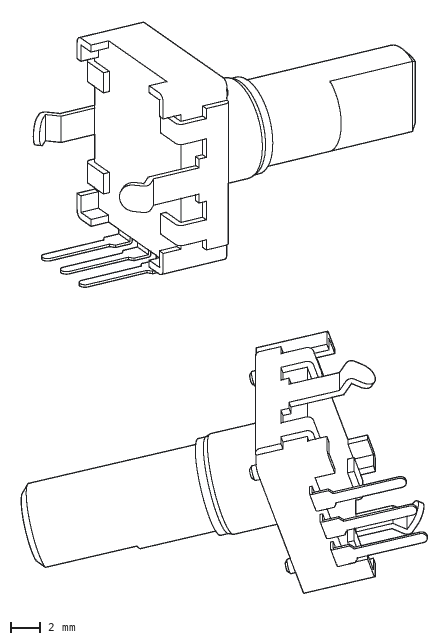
import cadquery as cq
import math


overall_width = 14.0
overall_length = 27.1
overall_height = 14.3

body_width = 11.5
body_height = 13.41
body_depth = 3.6
leg_depth = 4.99
leg_wall = 0.51
leg_span_x = 1.87
leg_span_z = 1.73
corner_radius = 0.51

bushing_radius = 3.5
bushing_length = 4.99
neck_radius = 3.35
neck_length = 0.57
bushing_bevel = 0.33
shaft_radius = 3.0
shaft_length = 17.5
shaft_chamfer = 0.51
flat_offset = 1.52
flat_start = 10.55

peg_radius = 0.51
peg_height = 0.8
peg_chamfer = 0.2
peg_x = 4.2
peg_z = 5.1

bracket_x = 6.23
plate_half_height = 5.23
plate_depth = 1.9
shoulder_half_height = 1.63
shoulder_depth = 2.47
fold_radius = 0.4
tab_thickness = 0.45
tab_height = 1.5
tab_z = 3.75
tab_reach = 3.8

clip_half_height = 0.98
clip_thickness = 0.43
clip_angle = math.radians(45)
clip_kink_depth = 6.02
clip_tip_x = overall_width / 2
tongue_length = 1.6

terminal_count = 3
terminal_pitch = 2.5
terminal_thickness = 0.2
terminal_front = 3.0
terminal_bottom = overall_height - body_height / 2
terminal_end = overall_length - shaft_length
head_width = 1.5
head_depth = 4.34
taper_depth = 4.58
pin_width = 0.8


def block(x_range, y_range, z_range):
    """Box between two limits on each axis."""
    (x0, x1), (y0, y1), (z0, z1) = x_range, y_range, z_range
    return cq.Workplane("XY").box(x1 - x0, y1 - y0, z1 - z0, centered=False).translate((x0, y0, z0))


def make_housing():
    half_w = body_width / 2
    half_h = body_height / 2
    inner_w = half_w - leg_wall
    inner_h = half_h - leg_wall
    rear = (-leg_depth, -body_depth)
    housing = block((-half_w, half_w), (-leg_depth, 0), (-half_h, half_h)).edges("|Y").fillet(corner_radius)
    gap_w = half_w - leg_span_x
    gap_h = half_h - leg_span_z
    housing = housing.cut(block((-inner_w, inner_w), rear, (-inner_h, inner_h)))
    housing = housing.cut(block((-gap_w, gap_w), rear, (-half_h, half_h)))
    return housing.cut(block((-half_w, half_w), rear, (-gap_h, gap_h)))


def make_shaft():
    """Revolved bushing, neck and shaft, with a flat along the +X side of the shaft end."""
    neck_start = bushing_length - neck_length
    profile = [
        (0, 0),
        (bushing_radius, 0),
        (bushing_radius, neck_start - bushing_bevel),
        (neck_radius, neck_start),
        (neck_radius, bushing_length),
        (shaft_radius, bushing_length),
        (shaft_radius, shaft_length),
        (0, shaft_length),
    ]
    shaft = cq.Workplane("XY").polyline(profile).close().revolve(360, (0, 0), (0, 1))
    flat = block((flat_offset, shaft_radius), (flat_start, shaft_length), (-shaft_radius, shaft_radius))
    return shaft.cut(flat).faces(">Y").chamfer(shaft_chamfer)


def make_pegs():
    return (
        cq.Workplane("XZ")
        .rect(2 * peg_x, 2 * peg_z, forConstruction=True)
        .vertices()
        .circle(peg_radius)
        .extrude(-peg_height)
        .faces(">Y")
        .chamfer(peg_chamfer)
    )


def make_side_plate():
    """Stepped plate on the +X side with two tabs folded over the rear face."""
    x_range = (body_width / 2, bracket_x)
    plate = block(x_range, (-plate_depth, 0), (-plate_half_height, plate_half_height))
    plate = plate.edges(">X and >Y").fillet(fold_radius)
    plate = plate.union(
        block(x_range, (-shoulder_depth, -plate_depth), (-shoulder_half_height, shoulder_half_height))
    )
    tab_rear = -body_depth - tab_thickness
    for z in (-tab_z, tab_z):
        z_range = (z - tab_height / 2, z + tab_height / 2)
        strip = block(x_range, (tab_rear, -plate_depth), z_range)
        strip = strip.union(block((tab_reach, bracket_x), (tab_rear, -body_depth), z_range))
        plate = plate.union(strip.edges(">X and <Y").fillet(fold_radius))
    return plate


def make_clip():
    """Snap-in clip on the +X side: straight arm, outward run, rounded bend and inward tongue."""
    t = clip_thickness
    arm_inner_x = bracket_x - t
    inner_kink_depth = clip_kink_depth + t * math.tan(clip_angle / 2)
    bend_x = clip_tip_x - t
    bend_y = -inner_kink_depth - (bend_x - arm_inner_x) / math.tan(clip_angle)
    normal_x = t * math.cos(clip_angle)
    normal_y = t * math.sin(clip_angle)
    arm = (
        cq.Workplane("XY")
        .moveTo(arm_inner_x, -plate_depth)
        .lineTo(bracket_x, -plate_depth)
        .lineTo(bracket_x, -clip_kink_depth)
        .lineTo(bend_x + normal_x, bend_y + normal_y)
        .threePointArc((clip_tip_x, bend_y), (bend_x + normal_x, bend_y - normal_y))
        .lineTo(bend_x, bend_y)
        .lineTo(arm_inner_x, -inner_kink_depth)
        .close()
        .extrude(clip_half_height, both=True)
    )
    tongue_plane = cq.Plane(
        origin=(bend_x, bend_y, 0),
        xDir=(-math.sin(clip_angle), -math.cos(clip_angle), 0),
        normal=(math.cos(clip_angle), -math.sin(clip_angle), 0),
    )
    straight = tongue_length - clip_half_height
    tongue = (
        cq.Workplane(tongue_plane)
        .moveTo(0, -clip_half_height)
        .lineTo(straight, -clip_half_height)
        .threePointArc((tongue_length, 0), (straight, clip_half_height))
        .lineTo(0, clip_half_height)
        .close()
        .extrude(t)
    )
    return arm.union(tongue)


def make_terminal(x):
    """Bent terminal: a lug down from the housing, then a tapered head and a round-ended pin."""
    half_head = head_width / 2
    half_pin = pin_width / 2
    x_range = (x - half_head, x + half_head)
    lug_rear = terminal_front + terminal_thickness
    underside = -terminal_bottom
    lug = block(x_range, (-lug_rear, -terminal_front), (underside, -body_height / 2))
    blade = (
        cq.Workplane("XY", origin=(x, 0, underside))
        .moveTo(-half_head, -terminal_front)
        .lineTo(-half_head, -head_depth)
        .lineTo(-half_pin, -taper_depth)
        .lineTo(-half_pin, -terminal_end + half_pin)
        .threePointArc((0, -terminal_end), (half_pin, -terminal_end + half_pin))
        .lineTo(half_pin, -taper_depth)
        .lineTo(half_head, -head_depth)
        .lineTo(half_head, -terminal_front)
        .close()
        .extrude(terminal_thickness)
    )
    return lug.union(blade).edges("|X and >Y and <Z").fillet(terminal_thickness)


result = make_housing().union(make_shaft()).union(make_pegs())

bracket = make_side_plate().union(make_clip())
result = result.union(bracket).union(bracket.mirror("YZ"))

for index in range(terminal_count):
    offset = index - (terminal_count - 1) / 2
    result = result.union(make_terminal(offset * terminal_pitch))